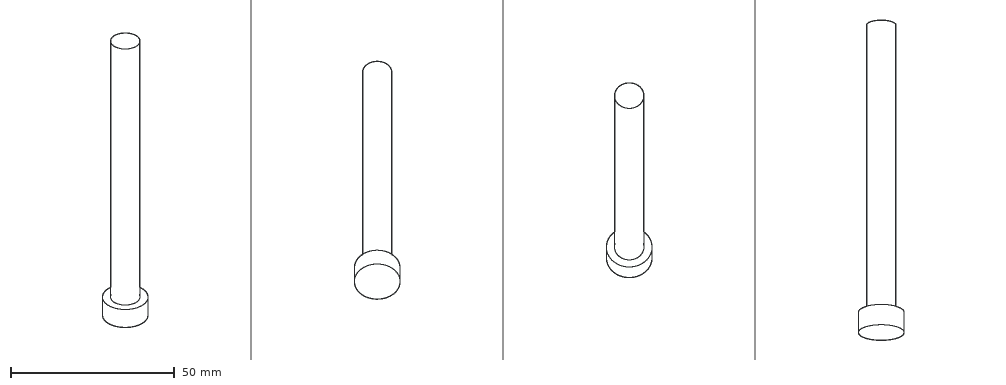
import cadquery as cq

total_length = 100.0
head_diameter = 14.0
head_height = 6.6
shank_diameter = 9.0

head = cq.Workplane("XY").circle(head_diameter / 2).extrude(head_height)
shank = cq.Workplane("XY").circle(shank_diameter / 2).extrude(total_length)

result = head.union(shank)